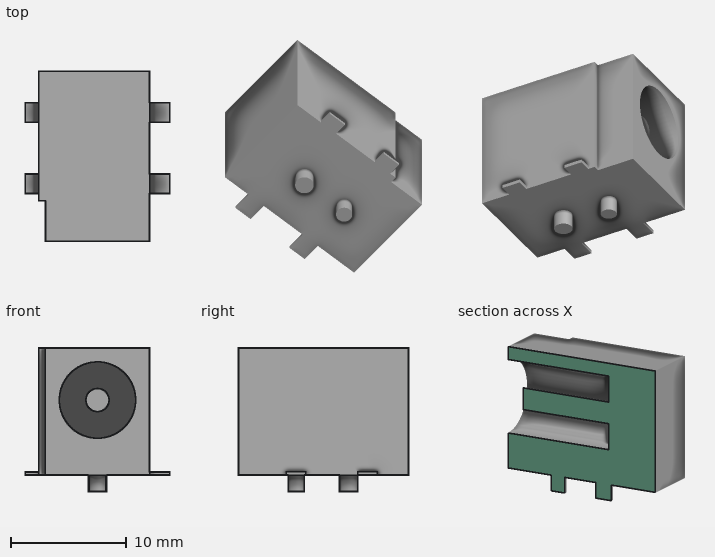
import cadquery as cq

length = 14.7
height = 11.0
front_width = 9.0
front_length = 3.5
side_step = 0.59

socket_diameter = 6.6
socket_depth = 10.0
socket_height = 6.5
contact_diameter = 2.0
contact_recess = 1.5

tab_span = 12.5
tab_width = 1.7
tab_thickness = 0.3
tab_centers_y = (4.98, 11.14)

peg_length = 1.41
pegs = ((5.0, 1.4), (9.53, 1.6))


def make_housing():
    right = front_width / 2
    front_left = -front_width / 2
    rear_left = front_left - side_step
    outline = [
        (front_left, 0),
        (right, 0),
        (right, length),
        (rear_left, length),
        (rear_left, front_length),
        (front_left, front_length),
    ]
    return cq.Workplane("XY").polyline(outline).close().extrude(height)


def rod_along_y(diameter, start, end):
    """Cylinder on the socket axis between two y positions."""
    plane = cq.Workplane("XZ", origin=(0, start, socket_height))
    return plane.circle(diameter / 2).extrude(start - end)


def make_tabs():
    """Strips across the housing whose ends stick out on both sides."""
    centers = [(0, y) for y in tab_centers_y]
    return cq.Workplane("XY").pushPoints(centers).rect(tab_span, tab_width).extrude(tab_thickness)


def make_peg(y, diameter):
    return cq.Workplane("XY").center(0, y).circle(diameter / 2).extrude(-peg_length)


result = make_housing().cut(rod_along_y(socket_diameter, 0, socket_depth))
result = result.union(rod_along_y(contact_diameter, contact_recess, socket_depth))
result = result.union(make_tabs())
for peg_y, peg_diameter in pegs:
    result = result.union(make_peg(peg_y, peg_diameter))